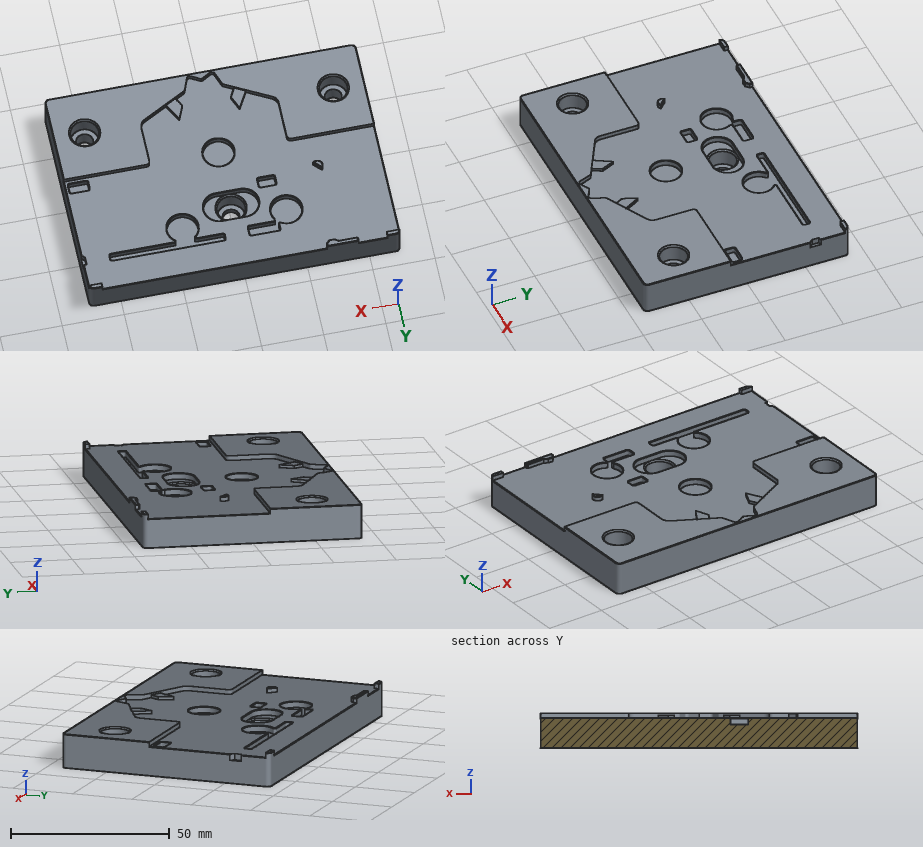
import cadquery as cq
import math

length = 100.0
width = 70.2
height = 11.0
corner_radius = 1.5
edge_chamfer = 0.2
step_height = 1.5
floor_z = height - step_height
back_y = width / 2
front_y = -width / 2
side_x = length / 2

pad_back_y = -5.6
channel_half_width = 22.1
channel_shoulder_y = -20.9
neck_half_width = 6.1
neck_y = -29.4
tip_half_width = 4.1
tip_y = -34.8
notch_peak_y = -32.5
pad_corner_radius = 1.2
shoulder_radius = 3.0
neck_radius = 1.2
tip_radius = 1.0

tab_height = 0.9
tab_apex = (9.7, -20.1)
tab_inner_corner = (7.8, -24.6)
tab_inner_foot = (9.5, -27.9)
tab_outer_foot = (13.2, -26.4)

post_length = 4.1
rim_width = 1.4
clip_left_x = -36.6
clip_right_x = -26.4
clip_bump_start_x = -30.4
clip_bump_left_x = -29.2
clip_bump_right_x = -27.5
clip_bump_width = 2.2
clip_right_corner_width = 1.1
clip_corner = 0.4
clip_chamfer = 0.2
peg_radius = 1.7
peg_centre = (-29.4, 5.5)

hole_diameter = 5.5
counterbore_diameter = 9.0
counterbore_depth = 5.7
counterbore_chamfer = 0.5
front_hole_x = 40.0
front_hole_y = -20.9
back_hole_y = 13.3

pocket_depth = 2.0
pocket_floor_z = floor_z - pocket_depth
pocket_chamfer = 0.2
pocket_corner_radius = 0.6
round_pocket_diameter = 10.0
obround_length = 17.7
side_pocket_x = 16.7
side_pocket_y = 18.4
centre_pocket_y = -6.2
slot_back_y = 25.4
left_slot = (-13.3, 22.0, -3.6, slot_back_y)
long_slot = (4.3, 23.1, 41.2, slot_back_y)
small_pocket = (-15.5, 5.5, -10.0, 8.9)
edge_pocket = (42.5, -4.5, 48.8, -1.1)
throat_radius = 0.5
throat_width = 0.9

edge_notch_depth = 1.1
edge_notch_back_y = 25.4
edge_notch_front_y = 21.6
edge_notch_back_run = 0.4
edge_notch_front_run = 1.2


def prism(outline, bottom_z, top_z):
    """Closed polygon extruded between two heights."""
    return cq.Workplane("XY").workplane(offset=bottom_z).polyline(outline).close().extrude(top_z - bottom_z)


def block(top_z):
    """Plate blank with rounded corners and a chamfered top edge."""
    blank = cq.Workplane("XY").rect(length, width).extrude(top_z)
    return blank.edges("|Z").fillet(corner_radius).faces(">Z").edges().chamfer(edge_chamfer)


def upright_edges_at(solid, points):
    """Vertical edges of a solid that stand on the given XY points."""
    tolerance = 0.01

    def stands_on_point(edge):
        centre = edge.Center()
        return any(math.hypot(centre.x - x, centre.y - y) < tolerance for x, y in points)

    return solid.edges("|Z").filter(stands_on_point)


def mirrored(points):
    return [(-x, y) for x, y in points]


def front_pads():
    """Front strip of the plate with the V-shaped channel left open."""
    pad_corner = (channel_half_width, pad_back_y)
    shoulder = (channel_half_width, channel_shoulder_y)
    neck = (neck_half_width, neck_y)
    tip = (tip_half_width, tip_y)
    half = [(side_x, front_y), (side_x, pad_back_y), pad_corner, shoulder, neck, tip]
    pads = prism(half + [(0, notch_peak_y)] + mirrored(half)[::-1], 0, height)
    rounded = [
        (pad_corner, pad_corner_radius),
        (shoulder, shoulder_radius),
        (neck, neck_radius),
        (tip, tip_radius),
    ]
    for corner, radius in rounded:
        pads = upright_edges_at(pads, [corner] + mirrored([corner])).fillet(radius)
    return pads


def corner_posts():
    """Short raised bars in the two back corners."""
    posts = cq.Workplane("XY")
    for side in (-1, 1):
        centre = (side * (side_x - post_length / 2), back_y - rim_width / 2)
        posts = posts.union(cq.Workplane("XY").center(*centre).rect(post_length, rim_width).extrude(height))
    return posts


def clip():
    """Raised bar on the back edge with a bump at its right end."""
    rim_y = back_y - rim_width
    outline = [
        (clip_left_x, back_y),
        (clip_left_x, rim_y + clip_corner),
        (clip_left_x + clip_corner, rim_y),
        (clip_bump_start_x, rim_y),
        (clip_bump_left_x, back_y - clip_bump_width),
        (clip_bump_right_x, back_y - clip_bump_width),
        (clip_right_x, back_y - clip_right_corner_width),
        (clip_right_x, back_y),
    ]
    return prism(outline, pocket_floor_z, height).faces(">Z").edges().chamfer(clip_chamfer)


def peg():
    """Small raised half disc, its flat side facing the back right corner."""
    x, y = peg_centre
    diagonal = peg_radius * math.sqrt(0.5)
    start = cq.Workplane("XY").workplane(offset=pocket_floor_z).moveTo(x - diagonal, y + diagonal)
    half_disc = start.threePointArc((x - diagonal, y - diagonal), (x + diagonal, y - diagonal)).close()
    return half_disc.extrude(height - pocket_floor_z).faces(">Z").edges().chamfer(clip_chamfer)


def channel_tabs():
    """Low tabs on both sides of the V."""
    half = [tab_apex, tab_inner_corner, tab_inner_foot, tab_outer_foot]
    tabs = cq.Workplane("XY")
    for outline in (half, mirrored(half)):
        tabs = tabs.union(prism(outline, pocket_floor_z, floor_z + tab_height))
    return tabs


def pocket_start():
    return cq.Workplane("XY").workplane(offset=pocket_floor_z)


def round_pocket(x, y):
    return pocket_start().center(x, y).circle(round_pocket_diameter / 2).extrude(pocket_depth)


def slot_pocket(limits):
    left, front, right, back = limits
    slot = pocket_start().center((left + right) / 2, (front + back) / 2).rect(right - left, back - front)
    return slot.extrude(pocket_depth).edges("|Z").fillet(pocket_corner_radius)


def circle_crossing_y(x):
    """Y where the rim of the left round pocket meets the given X, on its back half."""
    return side_pocket_y + math.sqrt((round_pocket_diameter / 2) ** 2 - (x + side_pocket_x) ** 2)


def circle_crossing_dx(y):
    """Distance from a side pocket's axis to its rim at the given Y."""
    return math.sqrt((round_pocket_diameter / 2) ** 2 - (y - side_pocket_y) ** 2)


def left_keyhole():
    """Round pocket joined by a narrow throat to the corner of a short slot."""
    left, front = left_slot[:2]
    throat_top = front + pocket_corner_radius
    throat = [
        (left, throat_top),
        (left, side_pocket_y),
        (left + throat_width, side_pocket_y),
        (left + throat_width, throat_top),
    ]
    shape = round_pocket(-side_pocket_x, side_pocket_y).union(slot_pocket(left_slot))
    shape = shape.union(prism(throat, pocket_floor_z, floor_z))
    return upright_edges_at(shape, [(left, circle_crossing_y(left))]).fillet(throat_radius)


def right_keyhole():
    """Round pocket opening into the long slot."""
    front = long_slot[1]
    dx = circle_crossing_dx(front)
    shape = round_pocket(side_pocket_x, side_pocket_y).union(slot_pocket(long_slot))
    throats = [(side_pocket_x - dx, front), (side_pocket_x + dx, front)]
    return upright_edges_at(shape, throats).fillet(throat_radius)


def obround_pocket():
    shape = pocket_start().center(0, back_hole_y).slot2D(obround_length, round_pocket_diameter)
    return shape.extrude(pocket_depth)


def edge_notch():
    """Shallow notch with slanted ends, open to the right side."""
    bottom_x = side_x - edge_notch_depth
    outline = [
        (side_x, edge_notch_back_y),
        (bottom_x, edge_notch_back_y - edge_notch_back_run),
        (bottom_x, edge_notch_front_y + edge_notch_front_run),
        (side_x, edge_notch_front_y),
    ]
    return prism(outline, pocket_floor_z, floor_z)


def screw_hole(x, y, rim_z):
    """Through hole with a deep counterbore chamfered at its rim."""
    bore_radius = counterbore_diameter / 2
    bore_floor_z = rim_z - counterbore_depth
    profile = [
        (0, 0),
        (hole_diameter / 2, 0),
        (hole_diameter / 2, bore_floor_z),
        (bore_radius, bore_floor_z),
        (bore_radius, rim_z - counterbore_chamfer),
        (bore_radius + counterbore_chamfer, rim_z),
        (0, rim_z),
    ]
    return cq.Workplane("XZ").polyline(profile).close().revolve(360, (0, 0), (0, 1)).translate((x, y, 0))


base = block(floor_z)
for pocket in (
    left_keyhole(),
    right_keyhole(),
    obround_pocket(),
    round_pocket(0, centre_pocket_y),
    slot_pocket(small_pocket),
    slot_pocket(edge_pocket),
):
    base = base.cut(pocket)
pocket_rims = [edge for wire in base.faces(">Z").val().innerWires() for edge in wire.Edges()]
base = base.newObject(pocket_rims).chamfer(pocket_chamfer)
base = base.cut(edge_notch())

result = base.union(block(height).intersect(front_pads().union(corner_posts())))
result = result.union(clip()).union(peg()).union(channel_tabs())

for hole_x in (-front_hole_x, front_hole_x):
    result = result.cut(screw_hole(hole_x, front_hole_y, height))
result = result.cut(screw_hole(0, back_hole_y, pocket_floor_z))